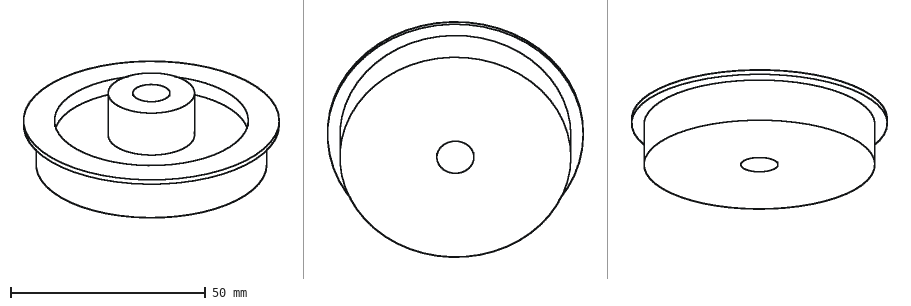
import cadquery as cq

flange_diameter = 65.8
tread_diameter = 59.4
recess_diameter = 49.9
hub_diameter = 22.25
bore_diameter = 9.55

total_height = 20.65
hub_rise = 7.95
recess_depth = 4.2
rim_thickness = 1.25
bevel_height = 0.25

flange_top = total_height - hub_rise
rim_bottom = flange_top - rim_thickness
tread_top = rim_bottom - bevel_height
recess_floor = flange_top - recess_depth
flange_radius = flange_diameter / 2
tread_radius = tread_diameter / 2
recess_radius = recess_diameter / 2
hub_radius = hub_diameter / 2
bore_radius = bore_diameter / 2

half_section = (
    cq.Workplane("XZ")
    .moveTo(bore_radius, 0)
    .lineTo(tread_radius, 0)
    .lineTo(tread_radius, tread_top)
    .lineTo(flange_radius, rim_bottom)
    .lineTo(flange_radius, flange_top)
    .lineTo(recess_radius, flange_top)
    .lineTo(recess_radius, recess_floor)
    .lineTo(hub_radius, recess_floor)
    .lineTo(hub_radius, total_height)
    .lineTo(bore_radius, total_height)
    .close()
)

result = half_section.revolve(360, (0, 0, 0), (0, 1, 0))